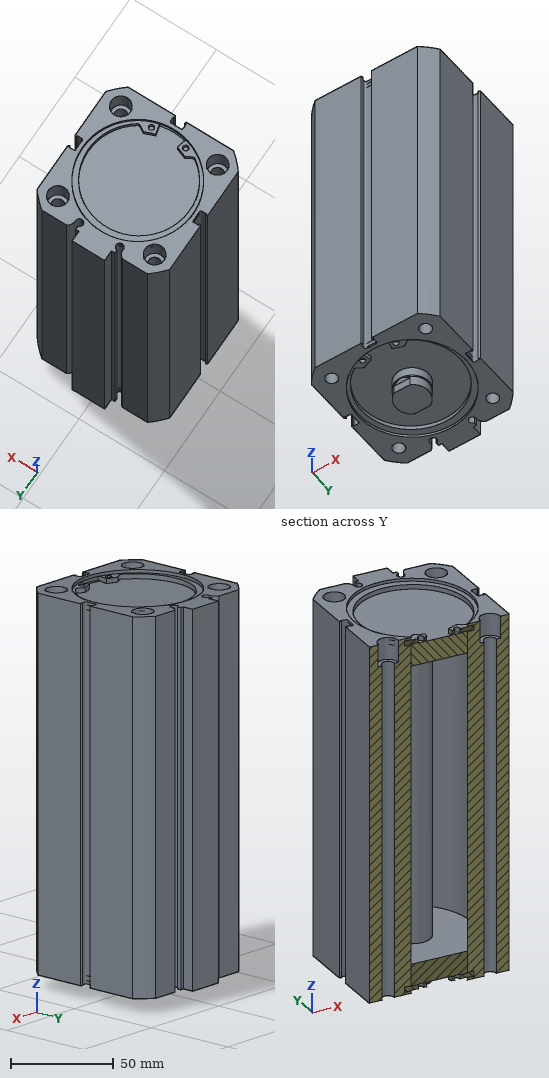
import cadquery as cq
import math

barrel_length = 195.0
barrel_width = 77.5
half_width = barrel_width / 2
corner_radius = 49.5
bore_diameter = 64.5

rail_width = 19.0
rail_top = 44.25
ledge_y = 38.2
groove_x = 11.8
groove_y = 34.2
groove_radius = 2.05
groove_neck_x = 11.5
groove_neck_y = 36.4
groove_mouth_x = 16.3
mouth_radius = 5.3

slot_mouth_width = 6.3
slot_neck_width = 5.4
slot_width = 7.2
slot_lip = 1.0
slot_floor = 34.35
slot_corner_radius = 0.8

hole_pitch = 56.5
hole_diameter = 6.8
counterbore_diameter = 11.0
counterbore_depth = 12.0

ring_inset = 1.6
ring_thickness = 2.5
ring_levels = (ring_inset, barrel_length - ring_inset - ring_thickness)
ring_outer_radius = 34.1
ring_inner_radius = 29.6
ring_offset = 1.2
ring_gap_angle = 13.7
lug_end_angle = 27.2
lug_root_angle = 33.0
lug_root_radius = 1.5
lug_inner_radius = 26.6
lug_hole_x = 10.0
lug_hole_y = -27.7
lug_hole_diameter = 3.0

cover_thickness = 12.0
cover_inset = ring_inset + ring_thickness
rear_cover_z = barrel_length - cover_inset - cover_thickness

rod_diameter = 20.0
rod_protrusion = 8.0
rod_shoulder = 1.4
rod_taper = 0.6
rod_tip_diameter = 19.5
flat_start = 3.0
flats_width = 17.0


def polar(radius, angle):
    """Point at an angle from -Y, positive towards +X."""
    a = math.radians(angle)
    return radius * math.sin(a), -radius * math.cos(a)


def make_slot(turn):
    """T-slot along the whole barrel: cut in the -Y face, then turned about Z."""
    lip_y = -half_width + slot_lip
    mouth = (
        cq.Workplane("XY")
        .moveTo(-slot_mouth_width / 2, -half_width)
        .lineTo(slot_mouth_width / 2, -half_width)
        .lineTo(slot_neck_width / 2, lip_y)
        .lineTo(-slot_neck_width / 2, lip_y)
        .close()
        .extrude(barrel_length)
    )
    channel_depth = half_width - slot_lip - slot_floor
    channel = cq.Workplane("XY").rect(slot_width, channel_depth).extrude(barrel_length)
    channel = channel.edges("|Z and >Y").fillet(slot_corner_radius)
    channel = channel.translate((0, -slot_floor - channel_depth / 2, 0))
    return mouth.union(channel).rotate((0, 0, 0), (0, 0, 1), turn)


def make_cable_groove():
    """Groove on the +X side of the rail: a round bottom with a flared mouth."""
    outer_x = groove_x + groove_radius
    mouth = (
        cq.Workplane("XY")
        .moveTo(groove_x, groove_y)
        .lineTo(groove_neck_x, groove_neck_y)
        .lineTo(groove_neck_x, ledge_y)
        .lineTo(rail_width / 2, ledge_y)
        .lineTo(rail_width / 2, half_width)
        .lineTo(groove_mouth_x, half_width)
        .radiusArc((outer_x, groove_y), -mouth_radius)
        .close()
        .extrude(barrel_length)
    )
    bottom = cq.Workplane("XY").center(groove_x, groove_y).circle(groove_radius).extrude(barrel_length)
    return mouth.union(bottom)


def make_ring_groove(z):
    disc = cq.Workplane("XY").workplane(offset=z).circle(ring_outer_radius)
    return disc.extrude(ring_thickness)


def make_barrel():
    body = cq.Workplane("XY").rect(barrel_width, barrel_width).extrude(barrel_length)
    body = body.intersect(cq.Workplane("XY").circle(corner_radius).extrude(barrel_length))
    rail = cq.Workplane("XY").rect(rail_width, 2 * (rail_top - half_width)).extrude(barrel_length)
    body = body.union(rail.translate((0, half_width, 0)))
    for turn in (-90, 0, 90):
        body = body.cut(make_slot(turn))
    groove = make_cable_groove()
    body = body.cut(groove).cut(groove.mirror("YZ"))
    body = body.cut(cq.Workplane("XY").circle(bore_diameter / 2).extrude(barrel_length))
    for z in ring_levels:
        body = body.cut(make_ring_groove(z))
    return (
        body.faces(">Z").workplane(origin=(0, 0, barrel_length))
        .rect(hole_pitch, hole_pitch, forConstruction=True)
        .vertices()
        .cboreHole(hole_diameter, counterbore_diameter, counterbore_depth)
    )


def make_ring(z):
    """Internal retaining ring: eccentric inner edge, two lugs and a gap facing -Y."""
    ring = cq.Workplane("XY").circle(ring_outer_radius).extrude(ring_thickness)
    opening = cq.Workplane("XY").center(0, -ring_offset).circle(ring_inner_radius)
    ring = ring.cut(opening.extrude(ring_thickness))
    for side in (-1, 1):
        lug = (
            cq.Workplane("XY")
            .moveTo(*polar(lug_inner_radius, side * ring_gap_angle))
            .lineTo(*polar(lug_inner_radius, side * lug_end_angle))
            .lineTo(*polar(bore_diameter / 2, side * lug_root_angle))
            .radiusArc(polar(bore_diameter / 2, side * ring_gap_angle), side * bore_diameter / 2)
            .close()
            .extrude(ring_thickness)
        )
        root = polar(ring_inner_radius, side * lug_root_angle)
        ring = ring.union(lug)
        ring = ring.edges(cq.selectors.NearestToPointSelector((*root, ring_thickness / 2)))
        ring = ring.fillet(lug_root_radius)
        hole = cq.Workplane("XY").center(side * lug_hole_x, lug_hole_y).circle(lug_hole_diameter / 2)
        ring = ring.cut(hole.extrude(ring_thickness))
    gap = (
        cq.Workplane("XY")
        .polyline([(0, 0), polar(barrel_width, -ring_gap_angle), polar(barrel_width, ring_gap_angle)])
        .close()
        .extrude(ring_thickness)
    )
    return ring.cut(gap).translate((0, 0, z))


def make_rear_cover():
    disc = cq.Workplane("XY").workplane(offset=rear_cover_z).circle(bore_diameter / 2)
    return disc.extrude(cover_thickness)


def make_front_cover():
    return (
        cq.Workplane("XY").workplane(offset=cover_inset)
        .circle(bore_diameter / 2).circle(rod_diameter / 2)
        .extrude(cover_thickness)
    )


def make_rod():
    """Rod from the rear cover out through the front cover; its two flats run out at 45 degrees."""
    rod_radius = rod_diameter / 2
    tip_radius = rod_tip_diameter / 2
    rod = (
        cq.Workplane("XZ")
        .moveTo(0, rear_cover_z)
        .lineTo(rod_radius, rear_cover_z)
        .lineTo(rod_radius, -rod_shoulder)
        .lineTo(tip_radius, -rod_shoulder - rod_taper)
        .lineTo(tip_radius, -rod_protrusion)
        .lineTo(0, -rod_protrusion)
        .close()
        .revolve(360, (0, 0, 0), (0, 1, 0))
    )
    flat_y = flats_width / 2
    runout = rod_radius - flat_y
    flat_cut = (
        cq.Workplane("YZ")
        .moveTo(flat_y, -rod_protrusion)
        .lineTo(flat_y, -flat_start)
        .lineTo(flat_y + runout, -flat_start + runout)
        .lineTo(flat_y + runout, -rod_protrusion)
        .close()
        .extrude(rod_radius, both=True)
    )
    return rod.cut(flat_cut).cut(flat_cut.mirror("XZ"))


barrel = make_barrel()
rings = [make_ring(z) for z in ring_levels]
rear_cover = make_rear_cover()
front_cover = make_front_cover()
rod = make_rod()

result = cq.Compound.makeCompound(
    [barrel.val(), *[ring.val() for ring in rings], rear_cover.val(), front_cover.val(), rod.val()]
)